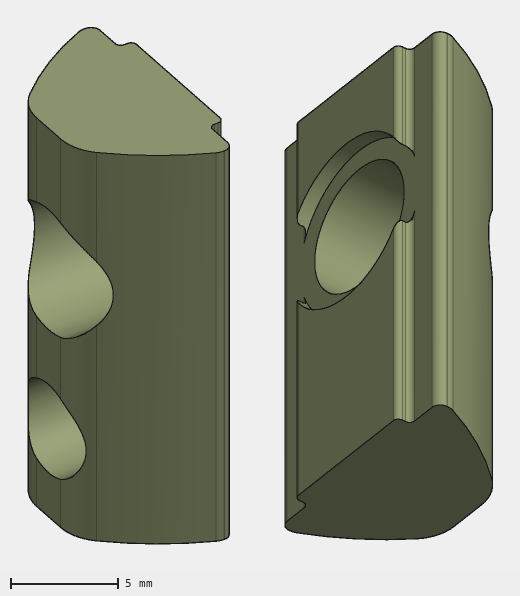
import cadquery as cq
import math


length = 22.0
width = 12.0
depth = 7.2

ridge_width = 7.8
ridge_height = 0.8
ridge_round = 0.3
shoulder_height = 0.74
shoulder_round = 0.5
flank_start_round = 1.0
flank_radius = 16.5
nose_width = 4.15
nose_round = 2.5

main_hole_diameter = 6.8
main_hole_z = 14.0
relief_diameter = 9.0

blind_hole_diameter = 5.0
blind_hole_z = 5.0
blind_hole_depth = 4.0
drill_tip_angle = 140.0

nose_y = ridge_height - depth


def flank_midpoint():
    """Middle point of the bulging flank arc on the +X side."""
    start_x, start_y = width / 2, -shoulder_height
    end_x, end_y = nose_width / 2, nose_y
    chord = math.hypot(end_x - start_x, end_y - start_y)
    sagitta = flank_radius - math.sqrt(flank_radius**2 - (chord / 2) ** 2)
    outward_x = (start_y - end_y) / chord
    outward_y = (end_x - start_x) / chord
    return (
        (start_x + end_x) / 2 + sagitta * outward_x,
        (start_y + end_y) / 2 + sagitta * outward_y,
    )


def round_edges(body, x, y, radius):
    """Round the mirrored pair of lengthwise edges at (+x, y) and (-x, y)."""
    for edge_x in (x, -x):
        edge = body.edges(cq.selectors.NearestToPointSelector((edge_x, y, length / 2)))
        body = edge.fillet(radius)
    return body


def make_body():
    """Extruded cross-section with all of its lengthwise edges rounded."""
    half_width = width / 2
    half_ridge = ridge_width / 2
    half_nose = nose_width / 2
    mid_x, mid_y = flank_midpoint()
    body = (
        cq.Workplane("XY")
        .moveTo(-half_ridge, ridge_height)
        .lineTo(half_ridge, ridge_height)
        .lineTo(half_ridge, 0)
        .lineTo(half_width, 0)
        .lineTo(half_width, -shoulder_height)
        .threePointArc((mid_x, mid_y), (half_nose, nose_y))
        .lineTo(-half_nose, nose_y)
        .threePointArc((-mid_x, mid_y), (-half_width, -shoulder_height))
        .lineTo(-half_width, 0)
        .lineTo(-half_ridge, 0)
        .close()
        .extrude(length)
    )
    body = round_edges(body, half_ridge, ridge_height, ridge_round)
    body = round_edges(body, half_ridge, 0, ridge_round)
    body = round_edges(body, half_width, 0, shoulder_round)
    body = round_edges(body, half_width, -shoulder_height, flank_start_round)
    return round_edges(body, half_nose, nose_y, nose_round)


def cylinder_along_y(diameter, start_y, height, z):
    """Cylinder starting at start_y on the middle plane and growing toward +Y."""
    return cq.Workplane(
        cq.Solid.makeCylinder(diameter / 2, height, cq.Vector(0, start_y, z), cq.Vector(0, 1, 0))
    )


def make_main_hole():
    """Through hole plus the wider relief that removes the ridge around it."""
    hole = cylinder_along_y(main_hole_diameter, nose_y, depth, main_hole_z)
    relief = cylinder_along_y(relief_diameter, 0, ridge_height, main_hole_z)
    return hole.union(relief)


def make_blind_hole():
    """Drilled blind hole entering from the nose, ending in a cone."""
    radius = blind_hole_diameter / 2
    tip_length = radius / math.tan(math.radians(drill_tip_angle / 2))
    wall_end_y = nose_y + blind_hole_depth
    half_section = (
        cq.Workplane("XY")
        .moveTo(0, nose_y)
        .lineTo(radius, nose_y)
        .lineTo(radius, wall_end_y)
        .lineTo(0, wall_end_y + tip_length)
        .close()
    )
    drill = half_section.revolve(360, (0, 0, 0), (0, 1, 0))
    return drill.translate((0, 0, blind_hole_z))


result = make_body().cut(make_main_hole()).cut(make_blind_hole())